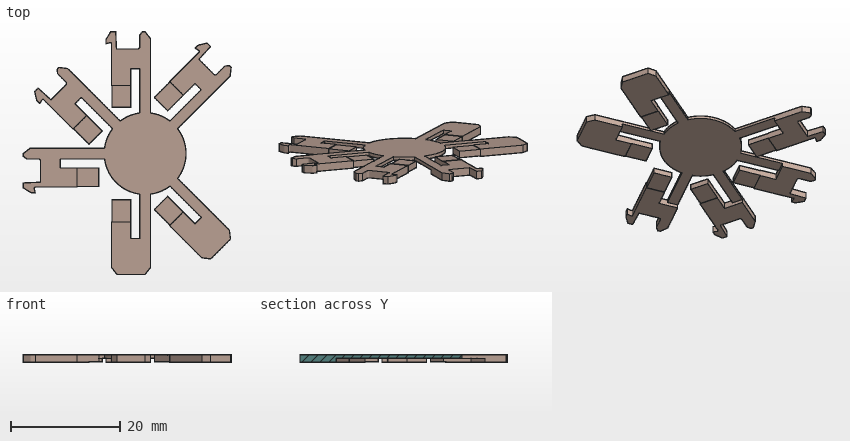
import cadquery as cq

body_thickness = 1.4
web_thickness = 0.65
tab_recess = 0.1
tab_side_clearance = 0.1

disc_radius = 7.5
beam_width = 2.0
slot_width = 1.6
body_width = 7.15
slot_end = 15.5
tab_start = 8.45
tab_end = 12.48
plain_length = 22.1
plug_length = 22.3
corner_length = 1.3
corner_width = beam_width / 2

fork_floor = 19.15
fork_corner_radius = 0.35
hook_root_width = 0.95
hook_lean = 0.15
hook_overhang = 1.0
hook_nose_width = 0.95
hook_nose_height = 1.4
hook_nose_radius = 0.5
barb_tip = 20.05
barb_root = 20.3
barb_root_radius = 0.18

plug_angles = (45, 90, 135, 180)
plain_angles = (-45, -90)

beam_side = beam_width / 2
outer_side = body_width - beam_side
slot_side = beam_side + slot_width
hook_root = outer_side - hook_root_width
barb_side = outer_side + hook_overhang

fork_corner = (fork_floor, beam_side)
hook_nose = (plug_length - hook_nose_height, barb_side)
barb_corner = (barb_root, outer_side)
plug_roundings = (
    (fork_corner, fork_corner_radius),
    (hook_nose, hook_nose_radius),
    (barb_corner, barb_root_radius),
)


def slab(outline, thickness, top=body_thickness):
    """Extrude a closed outline downward from the given top height."""
    return cq.Workplane("XY").workplane(offset=top).polyline(outline).close().extrude(-thickness)


def box_outline(x_min, x_max, y_min, y_max):
    return [(x_min, y_min), (x_max, y_min), (x_max, y_max), (x_min, y_max)]


def plain_end():
    """Bevelled blunt end, from the beam side round to the outer side."""
    bevel_start = plain_length - corner_length
    return [
        (bevel_start, -beam_side),
        (plain_length, -beam_side + corner_width),
        (plain_length, outer_side - corner_width),
        (bevel_start, outer_side),
    ]


def plug_end():
    """Forked end: a guide prong in line with the beam and a barbed hook prong."""
    return [
        (plug_length - corner_length, -beam_side),
        (plug_length, -beam_side + corner_width),
        (plug_length, beam_side - corner_width / 2),
        (plug_length - corner_length / 2, beam_side),
        fork_corner,
        (fork_floor, hook_root),
        (plug_length, hook_root + hook_lean),
        (plug_length, hook_root + hook_lean + hook_nose_width),
        hook_nose,
        (barb_tip, barb_side),
        barb_corner,
    ]


def round_corners(shape, roundings):
    """Fillet the upright edge nearest each (corner, radius) pair."""
    for (x, y), radius in roundings:
        nearest = cq.selectors.NearestToPointSelector((x, y, body_thickness / 2))
        shape = shape.edges("|Z").edges(nearest).fillet(radius)
    return shape


def arm(end_outline, roundings=()):
    """Thin beam, thick body with the given end, and the free tab beside the slot."""
    beam = slab(box_outline(0, slot_end, -beam_side, beam_side), web_thickness)
    root = [(tab_end, outer_side), (tab_end, slot_side), (slot_end, slot_side), (slot_end, -beam_side)]
    body = round_corners(slab(root + end_outline, body_thickness), roundings)
    tab = slab(
        box_outline(tab_start, slot_end, slot_side, outer_side - tab_side_clearance),
        body_thickness - 2 * tab_recess,
        top=body_thickness - tab_recess,
    )
    return beam.union(body).union(tab)


def turned(shape, angle):
    return shape.rotate((0, 0, 0), (0, 0, 1), angle)


plug_arm = arm(plug_end(), plug_roundings)
plain_arm = arm(plain_end()).mirror("XZ")

result = cq.Workplane("XY").workplane(offset=body_thickness).circle(disc_radius).extrude(-web_thickness)
for angle in plug_angles:
    result = result.union(turned(plug_arm, angle))
for angle in plain_angles:
    result = result.union(turned(plain_arm, angle))